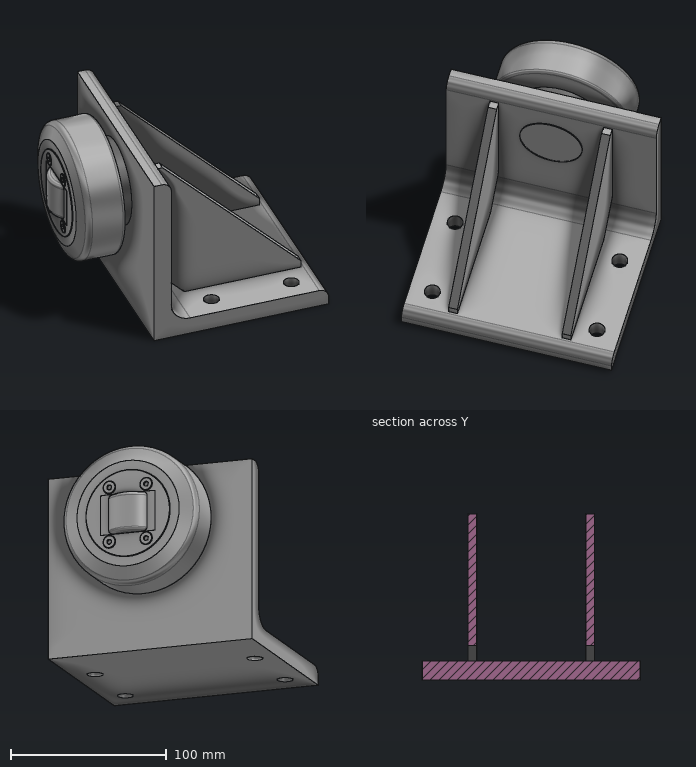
import cadquery as cq

width = 140.0
leg = 120.0
wall = 12.0
toe_radius = 6.6
heel_radius = 12.8

hole_diameter = 10.1
hole_spacing = 54.8
hole_pair_spacing = 109.6
hole_end_distance = 20.1

rib_thickness = 5.8
rib_gap = 69.8
rib_end_setback = 8.1
rib_end_height = 4.8
rib_heel_cut = 19.8

axis_height = 80.0
pin_diameter = 41.5
pin_projection = 0.7
collar_diameter = 59.0
roller_radius = 46.3
roller_back = 10.3
roller_back_round = 2.0
shoulder_distance = 33.2
shoulder_round = 4.3
crown_radius = 43.7
crown_distance = 37.2
face_radius = 35.0
face_distance = 40.2

cap_diameter = 57.8
cap_bevel = 0.3
cap_projection = 0.5
cap_distance = face_distance + cap_projection
window_width = 37.5
window_height = 26.5
window_depth = 0.2
window_round = 1.0

screw_diameter = 8.5
screw_bevel = 0.3
screw_projection = 0.5
screw_spacing_x = 25.2
screw_spacing_z = 36.2
socket_diameter = 3.2
socket_depth = 1.3

reach = 46.2
side_roller_radius = 18.1
side_roller_length = 26.2
side_roller_round = 2.5


def axis_plane(distance):
    """Plane on the roller axis at a distance in front of the bracket, normal to -Y."""
    return cq.Workplane("XZ", origin=(0, -distance, axis_height))


def make_bracket():
    bracket = (
        cq.Workplane("YZ")
        .polyline([(0, 0), (leg, 0), (leg, wall), (wall, wall), (wall, leg), (0, leg)])
        .close()
        .extrude(width / 2, both=True)
    )
    heel = cq.selectors.NearestToPointSelector((0, wall, wall))
    bracket = bracket.edges(heel).fillet(heel_radius)
    for toe in [(0, leg, wall), (0, wall, leg)]:
        bracket = bracket.edges(cq.selectors.NearestToPointSelector(toe)).fillet(toe_radius)
    holes = (
        cq.Workplane("XY")
        .center(0, leg - hole_end_distance - hole_spacing / 2)
        .rarray(hole_pair_spacing, hole_spacing, 2, 2)
        .circle(hole_diameter / 2)
        .extrude(wall)
    )
    return bracket.cut(holes)


def make_rib(start_x):
    tip = leg - rib_end_setback
    return (
        cq.Workplane("YZ", origin=(start_x, 0, 0))
        .moveTo(wall + rib_heel_cut, wall)
        .lineTo(tip, wall)
        .lineTo(tip, wall + rib_end_height)
        .lineTo(wall + rib_end_height, tip)
        .lineTo(wall, tip)
        .lineTo(wall, wall + rib_heel_cut)
        .close()
        .extrude(rib_thickness)
    )


def make_main_roller():
    return (
        cq.Workplane("XY", origin=(0, 0, axis_height))
        .moveTo(0, -roller_back)
        .lineTo(roller_radius - roller_back_round, -roller_back)
        .radiusArc((roller_radius, -roller_back - roller_back_round), roller_back_round)
        .lineTo(roller_radius, -shoulder_distance)
        .radiusArc((crown_radius, -crown_distance), shoulder_round)
        .lineTo(face_radius, -face_distance)
        .lineTo(0, -face_distance)
        .close()
        .revolve(360, (0, 0, 0), (0, 1, 0))
    )


def make_collar_and_pin():
    collar = axis_plane(0).circle(collar_diameter / 2).extrude(roller_back)
    pin = axis_plane(-wall - pin_projection).circle(pin_diameter / 2).extrude(wall + pin_projection)
    return collar.union(pin)


def make_cap():
    cap = axis_plane(roller_back).circle(cap_diameter / 2).extrude(cap_distance - roller_back)
    cap = cap.faces("<Y").edges().chamfer(cap_bevel)
    window = (
        axis_plane(cap_distance - window_depth)
        .rect(window_width, window_height)
        .extrude(window_depth)
        .edges("|Y and >Z")
        .fillet(window_round)
    )
    return cap.cut(window)


def screw_cylinders(diameter, start, length):
    return (
        axis_plane(start)
        .rarray(screw_spacing_x, screw_spacing_z, 2, 2)
        .circle(diameter / 2)
        .extrude(length)
    )


def make_side_roller():
    bottom = axis_height - side_roller_length / 2
    roller = (
        cq.Workplane("XY", origin=(0, side_roller_radius - reach, bottom))
        .circle(side_roller_radius)
        .extrude(side_roller_length)
    )
    return roller.edges("%CIRCLE").fillet(side_roller_round)


result = make_bracket()
for rib_start in [-rib_gap / 2 - rib_thickness, rib_gap / 2]:
    result = result.union(make_rib(rib_start))

screw_face = cap_distance + screw_projection
screw_heads = screw_cylinders(screw_diameter, face_distance, screw_face - face_distance)
screw_heads = screw_heads.faces("<Y").edges().chamfer(screw_bevel)
result = (
    result.union(make_collar_and_pin())
    .union(make_main_roller())
    .union(make_cap())
    .union(screw_heads)
    .cut(screw_cylinders(socket_diameter, screw_face - socket_depth, socket_depth))
    .union(make_side_roller())
)